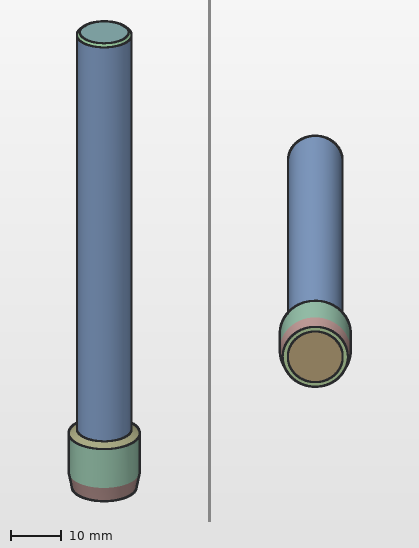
import cadquery as cq

total_length = 100.0

pin_diameter = 10.8
pin_chamfer = 0.6

collar_diameter = 14.0
collar_height = 12.7
collar_cone_height = 0.9
taper_height = 3.2
taper_end_diameter = 12.8


def make_pin():
    """Full-length round pin, chamfered at its free upper end."""
    pin = cq.Workplane("XY").circle(pin_diameter / 2).extrude(total_length)
    return pin.faces(">Z").chamfer(pin_chamfer)


def make_collar():
    """Sleeve with a tapered lead-in below and a conical top that runs in to the pin."""
    bore_radius = pin_diameter / 2
    outer_radius = collar_diameter / 2
    profile = (
        cq.Workplane("XZ")
        .moveTo(bore_radius, 0)
        .lineTo(taper_end_diameter / 2, 0)
        .lineTo(outer_radius, taper_height)
        .lineTo(outer_radius, collar_height - collar_cone_height)
        .lineTo(bore_radius, collar_height)
        .close()
    )
    return profile.revolve(360, (0, 0, 0), (0, 1, 0))


pin = make_pin()
collar = make_collar()

result = cq.Compound.makeCompound([pin.val(), collar.val()])